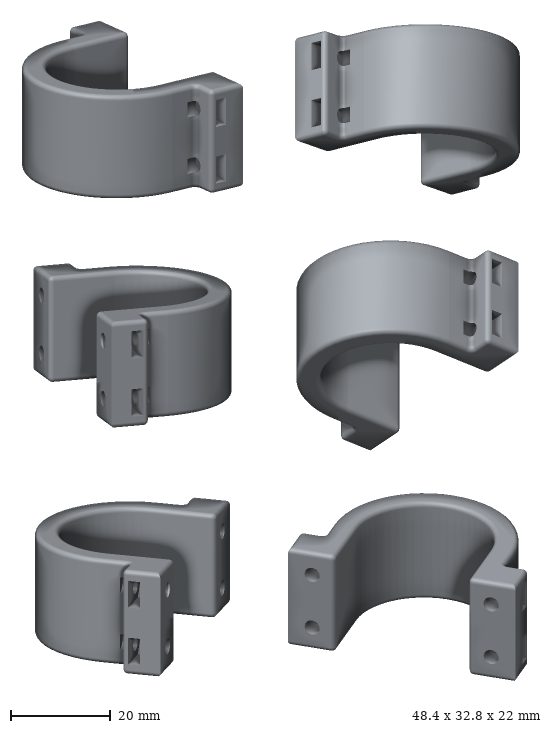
import cadquery as cq
import math

WIDTH = 48.4
DEPTH = 32.75
HEIGHT = 22.0

OUTER_RADIUS = 19.0
WALL = 4.85
INNER_RADIUS = OUTER_RADIUS - WALL
BACK_Y = DEPTH - OUTER_RADIUS

FLANGE_THICKNESS = 8.0
FLANGE_FRONT_Y = BACK_Y - FLANGE_THICKNESS
EDGE_RADIUS = 0.95

HOLE_DIAMETER = 3.2
HOLE_DEPTH = 10.0
HOLE_X = OUTER_RADIUS
HOLE_Z = HEIGHT / 2 - 5.0
NUT_ACROSS_FLATS = 5.7
NUT_ACROSS_CORNERS = NUT_ACROSS_FLATS / math.cos(math.pi / 6)
NUT_THICKNESS = 2.5
NUT_BACK_Y = BACK_Y - 4.25
CUT_MARGIN = 0.5


def vertical_edges_at(body, x, y):
    """Select the mirrored pair of vertical edges at +x and -x."""
    size = 0.05
    selected = body.edges(cq.selectors.BoxSelector((x - size, y - size, -size), (x + size, y + size, size)))
    return selected.add(
        body.edges(cq.selectors.BoxSelector((-x - size, y - size, -size), (-x + size, y + size, size)))
    )


def clamp_body():
    """Flanged U strap with rounded edges and sharp outer back corners."""
    half = WIDTH / 2
    body = (
        cq.Workplane("XY")
        .moveTo(-half, BACK_Y)
        .lineTo(-INNER_RADIUS, BACK_Y)
        .lineTo(-INNER_RADIUS, 0)
        .threePointArc((0, -INNER_RADIUS), (INNER_RADIUS, 0))
        .lineTo(INNER_RADIUS, BACK_Y)
        .lineTo(half, BACK_Y)
        .lineTo(half, FLANGE_FRONT_Y)
        .lineTo(OUTER_RADIUS, FLANGE_FRONT_Y)
        .lineTo(OUTER_RADIUS, 0)
        .threePointArc((0, -OUTER_RADIUS), (-OUTER_RADIUS, 0))
        .lineTo(-OUTER_RADIUS, FLANGE_FRONT_Y)
        .lineTo(-half, FLANGE_FRONT_Y)
        .close()
        .extrude(HEIGHT / 2, both=True)
    )
    rounded_corners = [
        (INNER_RADIUS, BACK_Y),
        (half, FLANGE_FRONT_Y),
        (OUTER_RADIUS, FLANGE_FRONT_Y),
    ]
    for x, y in rounded_corners:
        body = vertical_edges_at(body, x, y).fillet(EDGE_RADIUS)
    return body.faces("|Z").edges().fillet(EDGE_RADIUS)


def screw_hole(x, z):
    """Blind hole from the back face, running out into the strap wall."""
    return (
        cq.Workplane("XZ", origin=(x, BACK_Y, z))
        .circle(HOLE_DIAMETER / 2)
        .extrude(HOLE_DEPTH)
    )


def nut_pocket(x, z):
    """Hexagonal seat with a slot of the same height out to the flange side."""
    seat_plane = cq.Workplane("XZ", origin=(x, NUT_BACK_Y, z))
    seat = seat_plane.polygon(6, NUT_ACROSS_CORNERS).extrude(NUT_THICKNESS)
    slot_length = WIDTH / 2 - HOLE_X + CUT_MARGIN
    slot = (
        seat_plane.center(math.copysign(slot_length / 2, x), 0)
        .rect(slot_length, NUT_ACROSS_FLATS)
        .extrude(NUT_THICKNESS)
    )
    return seat.union(slot)


result = clamp_body()
for hole_x in (-HOLE_X, HOLE_X):
    for hole_z in (-HOLE_Z, HOLE_Z):
        result = result.cut(screw_hole(hole_x, hole_z))
        result = result.cut(nut_pocket(hole_x, hole_z))